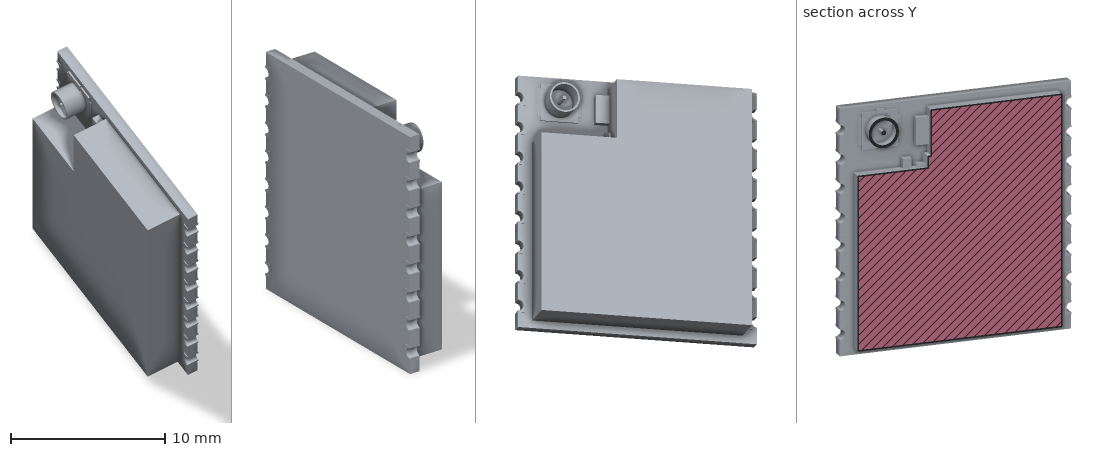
import cadquery as cq


board_width = 16.0
board_height = 17
board_thickness = 0.75
pad_count = 8
pad_pitch = 2.0
pad_width = 0.46
pad_height = 1.0
pad_thickness = 0.05
notch_radius = 0.35

can_side_margin = 0.95
can_end_margin = 0.51
can_depth = 2.48
open_corner_width = 5.03
open_corner_height = 3.96

connector_from_left = 2.74
connector_from_top = 1.7
base_size = 2.52
base_thickness = 0.12
sleeve_radius = 1.0
sleeve_bore_radius = 0.88
sleeve_reach = 1.58
pin_radius = 0.12
pin_reach = 1.48
top_tab_width = 0.56
top_tab_overhang = 0.19
top_tab_bottom = 0.08
top_tab_top = 0.19
side_tab_width = 0.19
side_tab_thickness = 0.05
left_tab_height = 1.87
right_tab_height = 1.63

chip_reach = 0.51
side_chip_width = 0.88
side_chip_height = 1.89
side_chip_from_top = 1.07
small_chip_width = 0.58
small_chip_height = 0.68
small_chip_gap = 1.2

spring_foot_length = 0.99
spring_foot_height = 0.24
spring_foot_reach = 0.56
spring_foot_bend = 0.27
spring_ledge_length = 0.14
spring_ledge_reach = 0.08
spring_blade_length = 0.34
spring_blade_root_lean = 0.07
spring_blade_tip_lean = 0.19
spring_blade_reach = 1.0
spring_blade_root_height = 0.8
spring_blade_peak_height = 0.88
spring_blade_tip_height = 0.71

board_left = -board_width / 2
board_top = board_height / 2
can_left = board_left + can_side_margin
can_right = -can_left
can_top = board_top - can_end_margin
can_bottom = -can_top
corner_x = can_left + open_corner_width
corner_z = can_top - open_corner_height
connector_x = board_left + connector_from_left
connector_z = board_top - connector_from_top


def block(x_min, x_max, z_min, z_max, reach, start=0):
    """Box over an X-Z rectangle, reaching toward -Y from the board face."""
    size = (x_max - x_min, reach - start, z_max - z_min)
    return cq.Workplane("XY").box(*size, centered=False).translate((x_min, -reach, z_min))


def disc(radius, reach):
    """Cylinder on the connector axis, standing on the board face."""
    axis_plane = cq.Workplane("XZ", origin=(connector_x, 0, connector_z))
    return axis_plane.circle(radius).extrude(reach)


def make_board():
    board = block(board_left, -board_left, -board_top, board_top, 0, -board_thickness)
    plated_thickness = board_thickness + 2 * pad_thickness
    middle_y = board_thickness / 2
    for index in range(pad_count):
        pad_z = (index - (pad_count - 1) / 2) * pad_pitch
        for side in (-1, 1):
            edge_x = side * board_width / 2
            pad = cq.Workplane("XY").box(pad_width, plated_thickness, pad_height)
            board = board.union(pad.translate((edge_x - side * pad_width / 2, middle_y, pad_z)))
            notch = cq.Workplane("XZ").circle(notch_radius).extrude(plated_thickness / 2, both=True)
            board = board.cut(notch.translate((edge_x, middle_y, pad_z)))
    return board


def make_can():
    outline = [
        (can_left, can_bottom),
        (can_right, can_bottom),
        (can_right, can_top),
        (corner_x, can_top),
        (corner_x, corner_z),
        (can_left, corner_z),
    ]
    return cq.Workplane("XZ").polyline(outline).close().extrude(can_depth)


def make_connector():
    half_base = base_size / 2
    left = connector_x - half_base
    right = connector_x + half_base
    bottom = connector_z - half_base
    top = connector_z + half_base
    base = block(left, right, bottom, top, base_thickness)

    left_tab = block(
        left - side_tab_width, connector_x,
        connector_z - left_tab_height / 2, connector_z + left_tab_height / 2,
        side_tab_thickness,
    )
    right_tab = block(
        connector_x, right + side_tab_width,
        connector_z - right_tab_height / 2, connector_z + right_tab_height / 2,
        side_tab_thickness,
    )
    top_tab = block(
        connector_x - top_tab_width / 2, connector_x + top_tab_width / 2,
        connector_z + sleeve_bore_radius, top + top_tab_overhang,
        top_tab_top, top_tab_bottom,
    )
    bore = disc(sleeve_bore_radius, sleeve_reach).cut(disc(sleeve_bore_radius, base_thickness))
    shell = base.union(left_tab).union(right_tab).union(top_tab)
    shell = shell.union(disc(sleeve_radius, sleeve_reach)).cut(bore)
    return shell.union(disc(pin_radius, pin_reach))


def make_chips():
    chip_top = board_top - side_chip_from_top
    side_chip = block(
        corner_x - side_chip_width, corner_x, chip_top - side_chip_height, chip_top, chip_reach
    )
    small_right = corner_x - small_chip_gap
    small_chip = block(
        small_right - small_chip_width, small_right, corner_z, corner_z + small_chip_height, chip_reach
    )
    return side_chip.union(small_chip)


def make_spring():
    foot_left = corner_x - spring_foot_length
    bend_rise = spring_foot_reach - spring_ledge_reach
    foot = (
        cq.Workplane("XY", origin=(0, 0, corner_z))
        .moveTo(foot_left, 0)
        .lineTo(foot_left, -spring_ledge_reach)
        .lineTo(foot_left + spring_ledge_length, -spring_ledge_reach)
        .ellipseArc(spring_foot_bend, bend_rise, 180, 270, startAtCurrent=True)
        .lineTo(corner_x, -spring_foot_reach)
        .lineTo(corner_x, 0)
        .close()
        .extrude(spring_foot_height)
    )
    blade_left = corner_x - spring_blade_length
    blade_outline = [
        (blade_left, 0),
        (blade_left + spring_blade_root_lean, -spring_foot_reach),
        (blade_left + spring_blade_tip_lean, -spring_blade_reach),
        (corner_x, -spring_blade_reach),
        (corner_x, 0),
    ]
    blade = (
        cq.Workplane("XY", origin=(0, 0, corner_z))
        .polyline(blade_outline)
        .close()
        .extrude(spring_blade_peak_height)
    )
    arch = (
        cq.Workplane("YZ", origin=(blade_left, 0, corner_z))
        .lineTo(0, spring_blade_root_height)
        .threePointArc(
            (-spring_blade_reach / 2, spring_blade_peak_height),
            (-spring_blade_reach, spring_blade_tip_height),
        )
        .lineTo(-spring_blade_reach, 0)
        .close()
        .extrude(spring_blade_length)
    )
    return foot.union(blade.intersect(arch))


result = (
    make_board()
    .union(make_can())
    .union(make_connector())
    .union(make_chips())
    .union(make_spring())
)